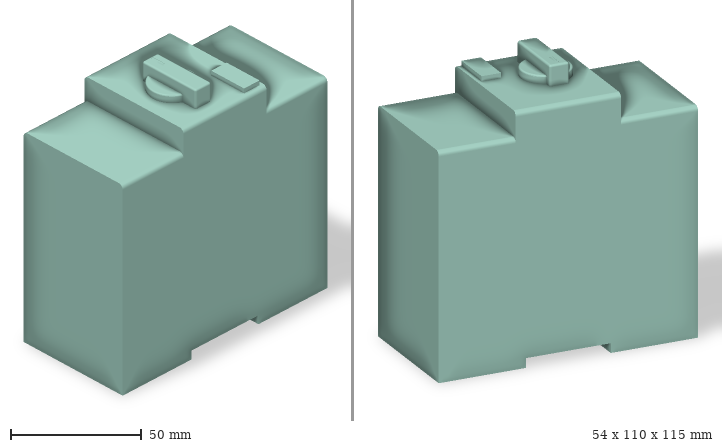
import cadquery as cq

width = 54.0
depth = 110.0
total_height = 115.0
shoulder_height = 95.5
front_height = 106.3
front_depth = 44.7
edge_radius = 2.1

channel_depth = 36.0
channel_height = 4.0

base_x = 3.3
switch_y = -4.8
base_diameter = 20.9
base_height = 3.6
base_edge_radius = 0.7
handle_x = 5.5
handle_length = 29.2
handle_width = 8.4
handle_edge_radius = 0.9
handle_height = total_height - front_height

mark_length = 7.0
mark_width = 1.5
mark_depth = 0.1

plate_length = 17.9
plate_width = 8.3
plate_height = 2.2
plate_y = 16.5


def rounded_block(block_depth, height):
    """Block standing on Z = 0 with its two long upper edges rounded."""
    block = cq.Workplane("XY").box(width, block_depth, height, centered=(True, True, False))
    return block.edges("|Y and >Z").fillet(edge_radius)


def make_housing():
    channel = cq.Workplane("XY").box(width, channel_depth, channel_height, centered=(True, True, False))
    shoulders = rounded_block(depth, shoulder_height)
    raised_front = rounded_block(front_depth, front_height)
    return shoulders.union(raised_front).cut(channel)


def make_switch():
    front_face = cq.Workplane("XY", origin=(0, 0, front_height))
    base = front_face.center(base_x, switch_y).circle(base_diameter / 2).extrude(base_height)
    base = base.faces(">Z").edges().fillet(base_edge_radius)
    handle = front_face.center(handle_x, switch_y).rect(handle_length, handle_width).extrude(handle_height)
    handle = handle.edges("|Z or >Z").fillet(handle_edge_radius)

    mark_start = handle_x - handle_length / 2 + handle_edge_radius
    mark = (
        cq.Workplane("XY", origin=(mark_start + mark_length / 2, switch_y, total_height))
        .rect(mark_length, mark_width)
        .extrude(-mark_depth)
    )
    return base.union(handle).cut(mark)


def make_label_plate():
    plate_x = width / 2 - edge_radius - plate_length / 2
    plate = cq.Workplane("XY", origin=(plate_x, plate_y, front_height))
    return plate.rect(plate_length, plate_width).extrude(plate_height)


result = make_housing().union(make_switch()).union(make_label_plate())